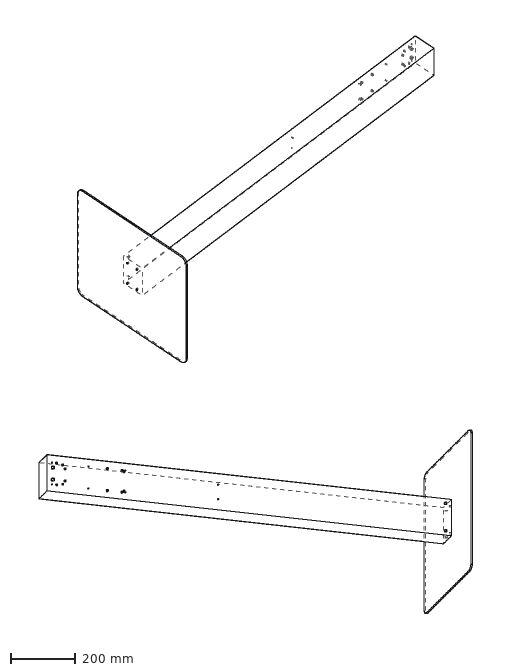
import cadquery as cq

total_length = 1337.0
plate_side = 465.0
plate_thickness = 5.0
plate_corner_radius = 24.0
post_width = 80.0
post_height = 120.0

plate_hole_diameter = 5.0
plate_hole_spacing_x = 40.0
plate_hole_spacing_z = 90.0

side_hole_depth = 5.0
side_hole_pairs = [
    (17.0, 36.0, 3.0),
    (20.0, 20.0, 10.0),
    (32.0, 36.0, 5.0),
    (52.0, 32.0, 5.0),
    (60.0, 20.0, 5.0),
    (136.0, 36.0, 3.0),
    (199.0, 36.0, 7.0),
    (247.0, 36.0, 5.0),
    (254.0, 32.0, 5.0),
    (258.0, 36.0, 3.0),
    (564.0, 24.0, 3.0),
    (1313.0, 45.0, 8.0),
]


def make_foot_plate():
    """Square plate with rounded corners and four screw holes."""
    plate = cq.Workplane("XZ").rect(plate_side, plate_side).extrude(-plate_thickness)
    plate = plate.edges("|Y").fillet(plate_corner_radius)
    holes = (
        cq.Workplane("XZ")
        .rect(plate_hole_spacing_x, plate_hole_spacing_z, forConstruction=True)
        .vertices()
        .circle(plate_hole_diameter / 2)
        .extrude(-plate_thickness)
    )
    return plate.cut(holes)


def make_post():
    """Rectangular post from the back of the plate to the free end."""
    return (
        cq.Workplane("XZ", origin=(0, plate_thickness, 0))
        .rect(post_width, post_height)
        .extrude(plate_thickness - total_length)
    )


def mirrored_points(end_distance, offset):
    """Two (Y, Z) places, one above and one below mid-height."""
    y = total_length - end_distance
    return [(y, offset), (y, -offset)]


def cut_side_holes(body):
    """Cut the blind holes into the -X face of the post."""
    face_plane = cq.Workplane("YZ", origin=(-post_width / 2, 0, 0))
    for end_distance, offset, diameter in side_hole_pairs:
        points = mirrored_points(end_distance, offset)
        holes = face_plane.pushPoints(points).circle(diameter / 2).extrude(side_hole_depth)
        body = body.cut(holes)
    return body


result = cut_side_holes(make_foot_plate().union(make_post()))